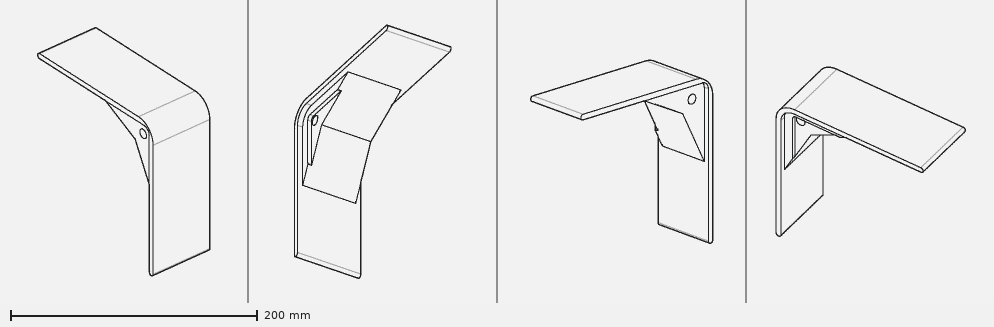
import cadquery as cq

leg_length = 145.5
width = 60.4
thickness = 5.0
outer_radius = 18.5
front_inner_radius = 6.5
back_inner_radius = outer_radius - thickness
end_radius = thickness / 2

side_margin = 5.0
gusset_reach = 75.5
elbow_inset = 28.7
hole_diameter = 8.5
hole_inset = outer_radius

pocket_inset = 12.8
pocket_size = 48.8
pocket_radius = 3.5
pocket_depth = 3.5

inner_face = leg_length - thickness
gusset_back = width - side_margin


def prism(outline, start, end):
    """Extrude a closed list of (x, z) points from Y = start to Y = end."""
    plane = cq.Workplane("XZ", origin=(0, start, 0))
    return plane.polyline(outline).close().extrude(start - end)


def edge_at(x, z):
    """Select the edge along Y that passes through (x, z)."""
    tolerance = 0.01
    return cq.selectors.BoxSelector(
        (x - tolerance, -width, z - tolerance),
        (x + tolerance, 2 * width, z + tolerance),
    )


def make_legs(start, end, inner_radius):
    """Bent strip with fully rounded free ends."""
    mid_face = leg_length - end_radius
    legs = (
        cq.Workplane("XZ", origin=(0, start, 0))
        .moveTo(end_radius, leg_length)
        .lineTo(leg_length, leg_length)
        .lineTo(leg_length, end_radius)
        .threePointArc((mid_face, 0), (inner_face, end_radius))
        .lineTo(inner_face, inner_face)
        .lineTo(end_radius, inner_face)
        .threePointArc((0, mid_face), (end_radius, leg_length))
        .close()
        .extrude(start - end)
    )
    legs = legs.edges(edge_at(leg_length, leg_length)).fillet(outer_radius)
    return legs.edges(edge_at(inner_face, inner_face)).fillet(inner_radius)


def make_gusset():
    """Solid web filling the inside corner, with a bent free edge and a corner matching the bend."""
    tip = leg_length - gusset_reach
    elbow = leg_length - elbow_inset
    outline = [(inner_face, inner_face), (tip, inner_face), (elbow, elbow), (inner_face, tip)]
    gusset = prism(outline, side_margin, gusset_back)
    return gusset.edges(edge_at(inner_face, inner_face)).fillet(front_inner_radius)


def make_pocket():
    """Rounded square sunk into the back face of the gusset."""
    high = leg_length - pocket_inset
    low = high - pocket_size
    outline = [(low, low), (high, low), (high, high), (low, high)]
    pocket = prism(outline, gusset_back - pocket_depth, gusset_back)
    return pocket.edges("|Y").fillet(pocket_radius)


def make_hole():
    """Round hole through the full width of the gusset."""
    centre = leg_length - hole_inset
    return cq.Workplane("XZ").center(centre, centre).circle(hole_diameter / 2).extrude(-width)


gusset = make_gusset().cut(make_pocket()).cut(make_hole())
front_legs = make_legs(0, gusset_back, front_inner_radius)
back_legs = make_legs(gusset_back, width, back_inner_radius)
result = front_legs.union(back_legs).union(gusset).clean()